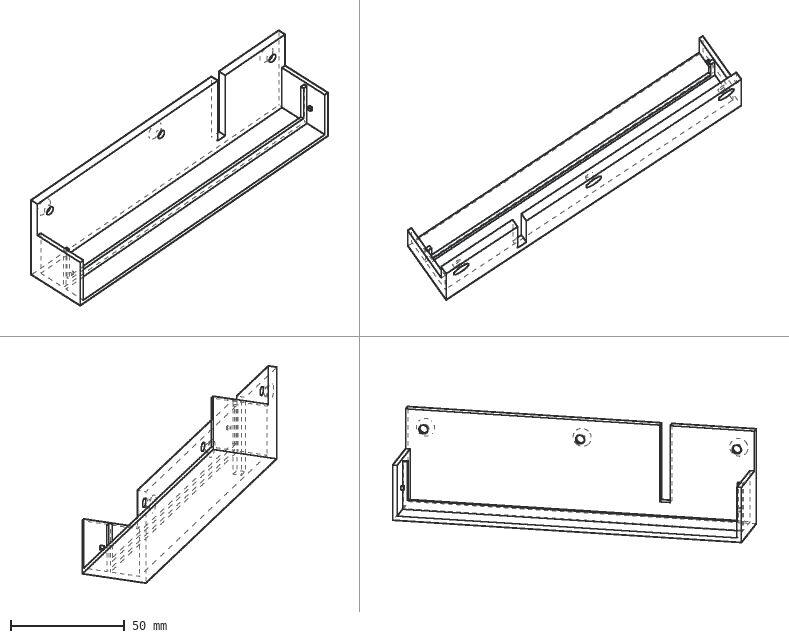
import cadquery as cq

WIDTH = 30.0
LENGTH = 157.0
HEIGHT = 43.5

PLATE_THICKNESS = 4.0
WALL_THICKNESS = 2.0
FLOOR_THICKNESS = 2.0
END_WALL_HEIGHT = 25.3

SLOT_WIDTH = 4.7
SLOT_CENTER_Y = 38.2
SLOT_BOTTOM_Z = 8.3

HOLE_DIAMETER = 4.0
COUNTERSINK_DIAMETER = 8.2
COUNTERSINK_ANGLE = 90.0
HOLE_SPACING = 70.5
HOLE_Z = 34.5

RIB_X = 17.6
RIB_THICKNESS = 1.5
RIB_TOP_Z = 6.3
POST_LENGTH = 2.2
POST_DROP = 1.4
POST_TOP_Z = END_WALL_HEIGHT - POST_DROP

PEG_WIDTH = 1.5
PEG_HEIGHT = 1.5
PEG_LENGTH = 1.3
PEG_X = 20.9
PEG_BOTTOM_Z = (END_WALL_HEIGHT - PEG_HEIGHT) / 2

INNER_END_Y = LENGTH / 2 - WALL_THICKNESS


def block(x_start, x_size, y_center, y_size, top_z):
    """Box standing on Z = 0, centred on y_center."""
    return (
        cq.Workplane("XY")
        .box(x_size, y_size, top_z, centered=(False, True, False))
        .translate((x_start, y_center, 0))
    )


def mounting_plate():
    """Upright plate with three holes countersunk from its outer face and one slot."""
    plate = block(0, PLATE_THICKNESS, 0, LENGTH, HEIGHT)
    plate = (
        plate.faces("<X")
        .workplane(origin=(0, 0, HOLE_Z))
        .pushPoints([(-HOLE_SPACING, 0), (0, 0), (HOLE_SPACING, 0)])
        .cskHole(HOLE_DIAMETER, COUNTERSINK_DIAMETER, COUNTERSINK_ANGLE)
    )
    slot = block(0, PLATE_THICKNESS, SLOT_CENTER_Y, SLOT_WIDTH, HEIGHT)
    return plate.cut(slot.translate((0, 0, SLOT_BOTTOM_Z)))


def end_details(side):
    """End wall, rib post and peg at one end; side is +1 or -1 along Y."""
    wall_y = side * (LENGTH - WALL_THICKNESS) / 2
    wall = block(0, WIDTH, wall_y, WALL_THICKNESS, END_WALL_HEIGHT)
    post_y = side * (INNER_END_Y - POST_LENGTH / 2)
    post = block(RIB_X, RIB_THICKNESS, post_y, POST_LENGTH, POST_TOP_Z)
    peg_y = side * (INNER_END_Y - PEG_LENGTH / 2)
    peg = block(PEG_X, PEG_WIDTH, peg_y, PEG_LENGTH, PEG_HEIGHT).translate((0, 0, PEG_BOTTOM_Z))
    return wall.union(post).union(peg)


floor = block(0, WIDTH, 0, LENGTH, FLOOR_THICKNESS)
rib = block(RIB_X, RIB_THICKNESS, 0, 2 * INNER_END_Y, RIB_TOP_Z)

result = mounting_plate().union(floor).union(rib)
for end_side in (-1, 1):
    result = result.union(end_details(end_side))